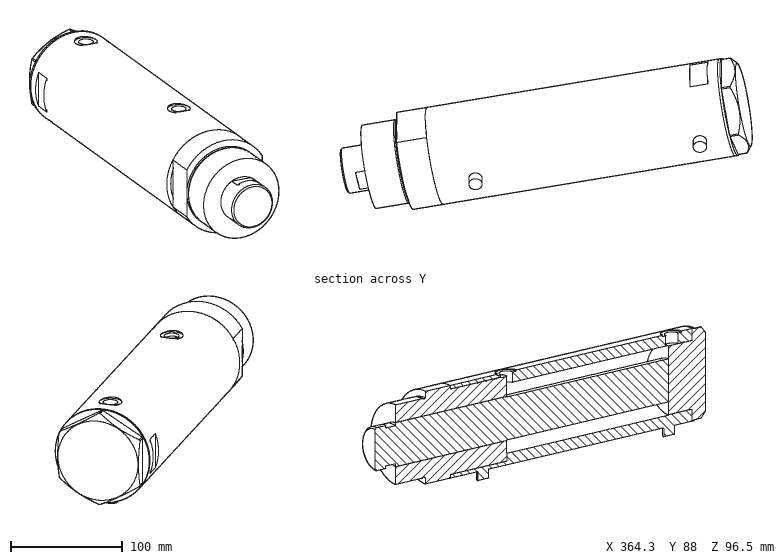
import cadquery as cq
import math


TOTAL_HEIGHT = 96.5
BODY_DIAMETER = 88.0
BODY_RADIUS = BODY_DIAMETER / 2
WRENCH_SIZE = 75.8
ROD_DIAMETER = 41.0
BORE_DIAMETER = 65.5
HEAD_SPIGOT_DIAMETER = 80.0

CAP_FLANGE_START = 12.8
BARREL_START = 15.0
CAP_SPIGOT_END = 41.0
HEAD_SPIGOT_START = 219.0
HEAD_START = 281.5
GROOVE_START = 309.0
COLLAR_START = 312.0
COLLAR_END = 341.7
ROD_FLAT_END = 352.3
ROD_END = 364.3

HEX_CORNER_DIAMETER = 86.7
HEX_FACE_DIAMETER = 75.0
HEX_CHAMFER_LENGTH = 4.7

PORT_POSITIONS = (37.0, 219.3)
PORT_DIAMETER = 13.0
SPOTFACE_DIAMETER = 20.5
SPOTFACE_DEPTH = 1.28
STUD_POSITIONS = (40.0, 244.8)
STUD_DIAMETER = 12.0
STUD_BOTTOM = BODY_RADIUS - TOTAL_HEIGHT
SLOT_CENTER = 32.5
SLOT_WIDTH = 16.0
SLOT_ACROSS_FLATS = 82.0

GROOVE_DIAMETER = 74.0
GROOVE_FLANK_LENGTH = 1.0
ROD_ACROSS_FLATS = 36.5
ROD_CHAMFER = 1.5


def cylinder_x(diameter, start, end):
    """Cylinder on the part axis between two X stations."""
    return cq.Workplane("YZ", origin=(start, 0, 0)).circle(diameter / 2).extrude(end - start)


def cylinder_z(diameter, x, bottom, top):
    """Upright cylinder centred on Y = 0 between two heights."""
    return cq.Workplane("XY", origin=(x, 0, bottom)).circle(diameter / 2).extrude(top - bottom)


def outside_flats(across_flats, start, end, axis):
    """Pair of blocks to cut away so that flats facing both ways along the given axis remain."""
    length = end - start
    shell = cq.Workplane("XY").box(length, BODY_DIAMETER, BODY_DIAMETER)
    if axis == "Y":
        core = cq.Workplane("XY").box(length, across_flats, BODY_DIAMETER)
    else:
        core = cq.Workplane("XY").box(length, BODY_DIAMETER, across_flats)
    return shell.cut(core).translate(((start + end) / 2, 0, 0))


def make_cap():
    """Hex cap with a flange against the barrel and a spigot plugging its bore."""
    corner_distance = WRENCH_SIZE / math.cos(math.pi / 6)
    hexagon = (
        cq.Workplane("YZ")
        .transformed(rotate=(0, 0, 90))
        .polygon(6, corner_distance)
        .extrude(CAP_FLANGE_START)
    )
    turned_blank = (
        cq.Workplane("XY")
        .moveTo(0, 0)
        .lineTo(0, HEX_FACE_DIAMETER / 2)
        .lineTo(HEX_CHAMFER_LENGTH, HEX_CORNER_DIAMETER / 2)
        .lineTo(CAP_FLANGE_START, HEX_CORNER_DIAMETER / 2)
        .lineTo(CAP_FLANGE_START, 0)
        .close()
        .revolve(360, (0, 0, 0), (1, 0, 0))
    )
    flange = cylinder_x(BODY_DIAMETER, CAP_FLANGE_START, BARREL_START)
    spigot = cylinder_x(BORE_DIAMETER, BARREL_START, CAP_SPIGOT_END)
    return hexagon.intersect(turned_blank).union(flange).union(spigot)


def make_barrel():
    """Bored barrel with two ports on top, two studs below and a slot in each side."""
    barrel = cylinder_x(BODY_DIAMETER, BARREL_START, HEAD_START)
    for x in STUD_POSITIONS:
        barrel = barrel.union(cylinder_z(STUD_DIAMETER, x, STUD_BOTTOM, 0))
    barrel = barrel.cut(cylinder_x(BORE_DIAMETER, BARREL_START, HEAD_SPIGOT_START))
    barrel = barrel.cut(cylinder_x(HEAD_SPIGOT_DIAMETER, HEAD_SPIGOT_START, HEAD_START))
    for x in PORT_POSITIONS:
        barrel = barrel.cut(cylinder_z(PORT_DIAMETER, x, 0, BODY_RADIUS))
        barrel = barrel.cut(cylinder_z(SPOTFACE_DIAMETER, x, BODY_RADIUS - SPOTFACE_DEPTH, BODY_RADIUS))
    slot_start = SLOT_CENTER - SLOT_WIDTH / 2
    slot_end = SLOT_CENTER + SLOT_WIDTH / 2
    return barrel.cut(outside_flats(SLOT_ACROSS_FLATS, slot_start, slot_end, "Y"))


def make_groove_neck():
    """Neck between head and collar: a short cylinder with a sloping flank at each end."""
    return (
        cq.Workplane("XY")
        .moveTo(GROOVE_START, 0)
        .lineTo(GROOVE_START, WRENCH_SIZE / 2)
        .lineTo(GROOVE_START + GROOVE_FLANK_LENGTH, GROOVE_DIAMETER / 2)
        .lineTo(COLLAR_START - GROOVE_FLANK_LENGTH, GROOVE_DIAMETER / 2)
        .lineTo(COLLAR_START, WRENCH_SIZE / 2)
        .lineTo(COLLAR_START, 0)
        .close()
        .revolve(360, (0, 0, 0), (1, 0, 0))
    )


def make_head():
    """Gland head: spigot in the barrel, section with wrench flats, groove and collar."""
    flatted = cylinder_x(BODY_DIAMETER, HEAD_START, GROOVE_START)
    flatted = flatted.cut(outside_flats(WRENCH_SIZE, HEAD_START, GROOVE_START, "Y"))
    head = cylinder_x(HEAD_SPIGOT_DIAMETER, HEAD_SPIGOT_START, HEAD_START)
    head = head.union(flatted)
    head = head.union(make_groove_neck())
    head = head.union(cylinder_x(WRENCH_SIZE, COLLAR_START, COLLAR_END))
    return head.cut(cylinder_x(ROD_DIAMETER, HEAD_SPIGOT_START, COLLAR_END))


def make_rod():
    """Rod from the cap through the head, with two flats just outside the head."""
    rod = cylinder_x(ROD_DIAMETER, CAP_SPIGOT_END, ROD_END).faces(">X").chamfer(ROD_CHAMFER)
    return rod.cut(outside_flats(ROD_ACROSS_FLATS, COLLAR_END, ROD_FLAT_END, "Z"))


cap = make_cap()
barrel = make_barrel()
head = make_head()
rod = make_rod()

result = cq.Compound.makeCompound([cap.val(), barrel.val(), head.val(), rod.val()])